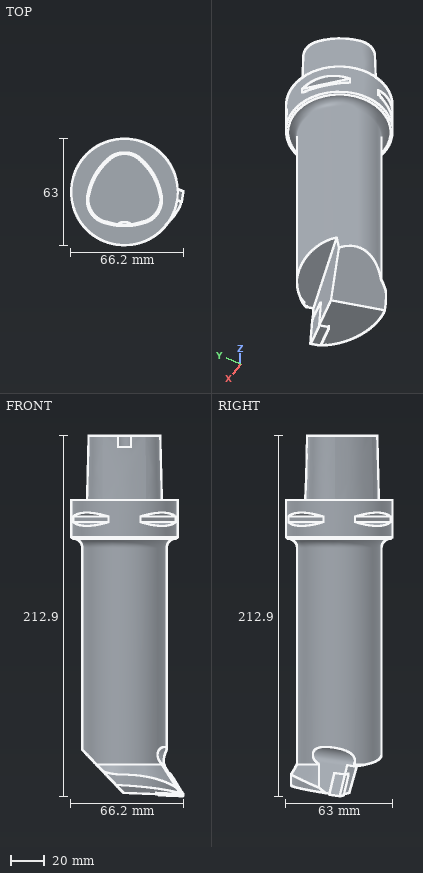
import cadquery as cq
import math


shank_height = 38.0
shank_side_distance = 20.2
shank_lobe_distance = 23.5
shank_side_radius = 37.3
shank_taper_angle = math.degrees(math.atan(1 / 40))
lobe_count = 3
key_notch_width = 7.9
key_notch_height = 6.5
key_notch_depth = 1.7

flange_radius = 63.0 / 2
flange_height = 22.0
flange_bevel_width = 1.3
flange_bevel_height = 1.0
groove_count = 4
groove_center_z = -11.5
groove_floor_distance = 28.0
groove_floor_height = 3.2
groove_mouth_height = 7.9

bar_radius = 50.0 / 2
neck_radius = flange_radius - flange_bevel_width - bar_radius
flare_top_z = -156.1
flare_angle = 30
flare_bottom_z = -181.0
head_front_y = -28.5
head_left_radius = 21.3
head_right_radius = 36.8
bevel_start_z = -147.5
bevel_angle = 46.3

tip_x = 35.5
tip_y = 0.2
tip_z = -175.0
rake_slope_x = 0.15
rake_slope_z = -0.14
edge_tilt = 3.4
insert_angle = 55.0
insert_side = 15.5
insert_thickness = 6.4
insert_nose_radius = 0.9
insert_overhang = 0.6
relief_radius = 7.0
relief_start = 20.7
pocket_ceiling_at_tip = 14.5
pocket_ceiling_angle = 19.5
reach = 85.2

rake_normal = cq.Vector(rake_slope_x, 1, rake_slope_z).normalized()
x_axis = cq.Vector(1, 0, 0)
rake_plane = cq.Plane(
    origin=(tip_x, tip_y, tip_z),
    xDir=x_axis - rake_normal * x_axis.dot(rake_normal),
    normal=rake_normal * -1,
)


def polar(distance, degrees, center=(0, 0)):
    """Point at a distance and direction from a center."""
    angle = math.radians(degrees)
    return (center[0] + distance * math.cos(angle), center[1] + distance * math.sin(angle))


def make_shank():
    side_offset = shank_side_radius - shank_side_distance
    gap = shank_side_radius - shank_lobe_distance
    lobe_offset = (side_offset**2 - gap**2) / (2 * gap - side_offset)
    pitch = 360 / lobe_count
    lobe_center = polar(lobe_offset, -90 + pitch / 2)
    tangent_angle = math.degrees(math.atan2(lobe_center[1] - side_offset, lobe_center[0]))
    seam = polar(shank_side_radius, tangent_angle, (0, side_offset))
    seam_distance = math.hypot(*seam)
    half_side = math.degrees(math.atan2(seam[1], seam[0])) + 90

    outline = cq.Workplane("XY").moveTo(*polar(seam_distance, -90 - half_side))
    for index in range(lobe_count):
        side = -90 + index * pitch
        outline = outline.threePointArc(
            polar(shank_side_distance, side), polar(seam_distance, side + half_side)
        )
        outline = outline.threePointArc(
            polar(shank_lobe_distance, side + pitch / 2),
            polar(seam_distance, side + pitch - half_side),
        )
    shank = outline.close().extrude(shank_height, taper=shank_taper_angle)
    return shank.cut(make_key_notch())


def make_key_notch():
    top_shrink = shank_height * math.tan(math.radians(shank_taper_angle))
    mouth_y = top_shrink - shank_side_distance
    half_width = key_notch_width / 2
    return (
        cq.Workplane("XY", origin=(0, 0, shank_height - key_notch_height))
        .moveTo(-half_width, mouth_y)
        .threePointArc((0, mouth_y + key_notch_depth), (half_width, mouth_y))
        .lineTo(half_width, -flange_radius)
        .lineTo(-half_width, -flange_radius)
        .close()
        .extrude(key_notch_height)
    )


def make_gripper_groove(angle):
    half_floor = groove_floor_height / 2
    half_mouth = groove_mouth_height / 2
    return (
        cq.Workplane("XZ")
        .moveTo(groove_floor_distance, groove_center_z - half_floor)
        .lineTo(flange_radius, groove_center_z - half_mouth)
        .lineTo(flange_radius, groove_center_z + half_mouth)
        .lineTo(groove_floor_distance, groove_center_z + half_floor)
        .close()
        .extrude(flange_radius, both=True)
        .rotate((0, 0, 0), (0, 0, 1), angle)
    )


def make_flange_and_bar():
    bevel_z = -flange_height - flange_bevel_height
    neck_center = (bar_radius + neck_radius, bevel_z - neck_radius)
    turned = (
        cq.Workplane("XZ")
        .lineTo(flange_radius, 0)
        .lineTo(flange_radius, -flange_height)
        .lineTo(flange_radius - flange_bevel_width, bevel_z)
        .threePointArc(polar(neck_radius, 135, neck_center), (bar_radius, neck_center[1]))
        .lineTo(bar_radius, flare_top_z)
        .lineTo(0, flare_top_z)
        .close()
        .revolve(360, (0, 0), (0, 1))
    )
    for index in range(groove_count):
        turned = turned.cut(make_gripper_groove(45 + index * 360 / groove_count))
    return turned


def make_head():
    """Flared cone trimmed by an eccentric wall of two tangent arcs."""
    flare_depth = flare_top_z - flare_bottom_z
    flare_bottom_radius = bar_radius + flare_depth * math.tan(math.radians(flare_angle))
    cone = (
        cq.Workplane("XZ")
        .moveTo(0, flare_top_z)
        .lineTo(bar_radius, flare_top_z)
        .lineTo(flare_bottom_radius, flare_bottom_z)
        .lineTo(0, flare_bottom_z)
        .close()
        .revolve(360, (0, 0), (0, 1))
    )
    left_center = (0, head_front_y + head_left_radius)
    right_center = (0, head_front_y + head_right_radius)
    wall = (
        cq.Workplane("XY", origin=(0, 0, flare_bottom_z))
        .moveTo(-head_left_radius, left_center[1])
        .threePointArc(polar(head_left_radius, -135, left_center), (0, head_front_y))
        .threePointArc(
            polar(head_right_radius, -45, right_center), (head_right_radius, right_center[1])
        )
        .lineTo(head_right_radius, reach)
        .lineTo(-head_left_radius, reach)
        .close()
        .extrude(flare_depth)
    )
    return cone.intersect(wall)


def make_long_bevel():
    start = (-bar_radius, bevel_start_z)
    return (
        cq.Workplane("XZ")
        .moveTo(*polar(reach, 180 - bevel_angle, start))
        .lineTo(*polar(reach, -bevel_angle, start))
        .lineTo(-reach, bevel_start_z - reach)
        .close()
        .extrude(reach, both=True)
    )


def make_chip_pocket():
    """Open space in front of the rake face, under a sloping ceiling."""
    ceiling = (0, pocket_ceiling_at_tip)
    return (
        cq.Workplane(rake_plane)
        .moveTo(*polar(reach, 180 - pocket_ceiling_angle, ceiling))
        .lineTo(*polar(reach, -pocket_ceiling_angle, ceiling))
        .lineTo(reach, -reach)
        .lineTo(-reach, -reach)
        .close()
        .extrude(-reach)
    )


def make_clearance():
    """Relief outside the bottom edge and the flank, ending in a round scoop."""
    bottom_direction = 180 - edge_tilt
    flank_direction = bottom_direction - insert_angle
    corner_inset = insert_overhang / math.sin(math.radians(insert_angle / 2))
    corner = polar(corner_inset, bottom_direction - insert_angle / 2)
    flank_end = polar(relief_start, flank_direction, corner)
    scoop_center = polar(relief_radius, flank_direction - 90, flank_end)
    return (
        cq.Workplane(rake_plane)
        .moveTo(*polar(reach, bottom_direction, corner))
        .lineTo(*corner)
        .lineTo(*flank_end)
        .threePointArc(polar(relief_radius, 160, scoop_center), polar(relief_radius, 90, scoop_center))
        .lineTo(reach, scoop_center[1] + relief_radius)
        .lineTo(reach, -reach)
        .lineTo(-reach, -reach)
        .close()
        .extrude(reach, both=True)
    )


def make_insert():
    bottom_direction = 180 - edge_tilt
    bottom_end = polar(insert_side, bottom_direction)
    flank_end = polar(insert_side, bottom_direction - insert_angle)
    far_corner = (bottom_end[0] + flank_end[0], bottom_end[1] + flank_end[1])
    return (
        cq.Workplane(rake_plane)
        .polyline([(0, 0), bottom_end, far_corner, flank_end])
        .close()
        .extrude(insert_thickness)
        .edges(cq.selectors.ParallelDirSelector(rake_normal))
        .fillet(insert_nose_radius)
    )


def make_holder(insert):
    holder = make_shank().union(make_flange_and_bar()).union(make_head())
    for cutter in (make_long_bevel(), make_chip_pocket(), make_clearance(), insert):
        holder = holder.cut(cutter)
    return holder


insert = make_insert()
holder = make_holder(insert)

result = cq.Compound.makeCompound([holder.val(), insert.val()])